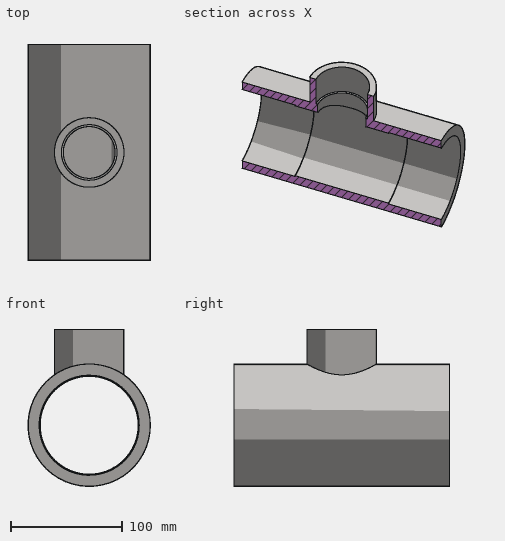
import cadquery as cq

run_length = 194.0
run_outer_diameter = 110.0
run_socket_diameter = 90.0
run_bore_diameter = 88.0
run_socket_depth = 51.5

branch_top_z = 86.0
branch_outer_diameter = 62.5
branch_socket_diameter = 50.0
branch_bore_diameter = 46.5
branch_socket_depth = 31.0


def run_cylinder(diameter, start_y, end_y):
    """Cylinder on the run axis between two Y positions."""
    return (
        cq.Workplane("XZ", origin=(0, start_y, 0))
        .circle(diameter / 2)
        .extrude(start_y - end_y)
    )


def branch_cylinder(diameter, bottom_z):
    """Cylinder on the branch axis from a given height up to the branch mouth."""
    return (
        cq.Workplane("XY", origin=(0, 0, bottom_z))
        .circle(diameter / 2)
        .extrude(branch_top_z - bottom_z)
    )


run_end = run_length / 2
stop_y = run_end - run_socket_depth

body = run_cylinder(run_outer_diameter, -run_end, run_end)
body = body.union(branch_cylinder(branch_outer_diameter, 0))

body = body.cut(run_cylinder(run_bore_diameter, -run_end, run_end))
for side in (-1, 1):
    body = body.cut(run_cylinder(run_socket_diameter, side * stop_y, side * run_end))

body = body.cut(branch_cylinder(branch_bore_diameter, 0))
body = body.cut(branch_cylinder(branch_socket_diameter, branch_top_z - branch_socket_depth))

result = body